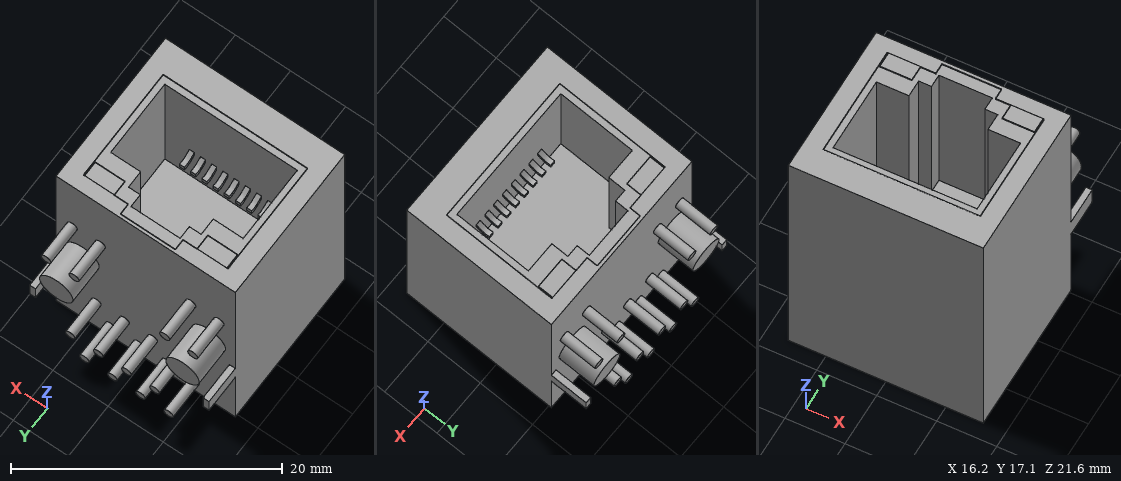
import cadquery as cq

WIDTH = 16.25
DEPTH = 13.82
HEIGHT = 21.6
PIN_LENGTH = 3.32

INSERT_WIDTH = 13.08
INSERT_FRONT = 2.5
INSERT_SHOULDER = 12.57
INSERT_KEY_WIDTH = 4.97
INSERT_BACK = 13.54
INSERT_LIP = 0.55
RIM_STEP = 0.1
INSERT_TOP = HEIGHT - RIM_STEP

CAVITY_WIDTH = INSERT_WIDTH - 2 * INSERT_LIP
CAVITY_FRONT = INSERT_FRONT + INSERT_LIP
CAVITY_SHOULDER = 9.87
CAVITY_STEP_WIDTH = 6.58
CAVITY_STEP_BACK = 11.4
CAVITY_LATCH_WIDTH = 4.45
CAVITY_LATCH_BACK = INSERT_SHOULDER
CAVITY_DEPTH = 12.95
INSERT_BOTTOM = INSERT_TOP - CAVITY_DEPTH - INSERT_LIP

WINDOW_WIDTH = 2.7
WINDOW_DEPTH = 1.35
WINDOW_SIDE_GAP = 0.09

CONTACT_COUNT = 8
CONTACT_PITCH = 1.01
CONTACT_WIDTH = 0.45
CONTACT_THICKNESS = 0.43
CONTACT_REACH = 1.25
CONTACT_KNEE_REACH = 0.55
CONTACT_KNEE_DROP = 0.35
CONTACT_VALLEY_REACH = 0.85
CONTACT_VALLEY_DROP = 0.45
CONTACT_TIP_DROP = 0.39
CONTACT_ROOT_SLOPE = -0.8
CONTACT_TIP_SLOPE = 0.2
CONTACT_ROOT_DEPTH = 8.64
CONTACT_ROOT_Z = HEIGHT - CONTACT_ROOT_DEPTH

SIGNAL_PIN_DIAMETER = 0.86
SIGNAL_PIN_COUNT = 8
SIGNAL_PIN_PITCH = 1.27
SIGNAL_ROW_Z = 1.8
SIGNAL_ROW_SPACING = 2.53
INDICATOR_PIN_DIAMETER = 0.9
INDICATOR_PIN_INNER_X = 4.1
INDICATOR_PIN_SPACING = 2.55
INDICATOR_PIN_Z = 14.75
POST_DIAMETER = 3.02
POST_X = 5.72
POST_Z = 10.7
TAB_WIDTH = 0.55
TAB_HEIGHT = 1.53
TAB_BOTTOM_Z = 6.9


def stepped_prism(steps, front, top, depth):
    """Prism going down from `top`; `steps` lists (width, back edge) from front to back."""
    right_side = []
    y = front
    for width, back in steps:
        right_side += [(width / 2, y), (width / 2, back)]
        y = back
    left_side = [(-x, y) for x, y in reversed(right_side)]
    outline = cq.Workplane("XY").workplane(offset=top).polyline(right_side + left_side).close()
    return outline.extrude(-depth)


def insert_prism(top):
    """Outer shape of the insert, from its bottom up to `top`."""
    steps = [(INSERT_WIDTH, INSERT_SHOULDER), (INSERT_KEY_WIDTH, INSERT_BACK)]
    return stepped_prism(steps, INSERT_FRONT, top, top - INSERT_BOTTOM)


def back_pin(x, z, diameter):
    return cq.Workplane("XZ", origin=(x, DEPTH, z)).circle(diameter / 2).extrude(-PIN_LENGTH)


def signal_pins():
    pins = []
    for i in range(SIGNAL_PIN_COUNT):
        x = (i - (SIGNAL_PIN_COUNT - 1) / 2) * SIGNAL_PIN_PITCH
        z = SIGNAL_ROW_Z + (i % 2) * SIGNAL_ROW_SPACING
        pins.append(back_pin(x, z, SIGNAL_PIN_DIAMETER))
    return pins


def side_fixings(side):
    """Two indicator pins, the locating post and the grounding tab of one side (-1 or +1)."""
    outer_x = INDICATOR_PIN_INNER_X + INDICATOR_PIN_SPACING
    tab = cq.Workplane("XY").box(TAB_WIDTH, PIN_LENGTH, TAB_HEIGHT, centered=(True, False, False))
    return [
        back_pin(side * INDICATOR_PIN_INNER_X, INDICATOR_PIN_Z, INDICATOR_PIN_DIAMETER),
        back_pin(side * outer_x, INDICATOR_PIN_Z, INDICATOR_PIN_DIAMETER),
        back_pin(side * POST_X, POST_Z, POST_DIAMETER),
        tab.translate((side * (WIDTH - TAB_WIDTH) / 2, DEPTH, TAB_BOTTOM_Z)),
    ]


def make_housing():
    block = cq.Workplane("XY").box(WIDTH, DEPTH, HEIGHT, centered=(True, False, False))
    housing = block.cut(insert_prism(HEIGHT))
    for fixing in signal_pins() + side_fixings(-1) + side_fixings(1):
        housing = housing.union(fixing)
    return housing


def indicator_window(side):
    x = side * (INSERT_WIDTH / 2 - WINDOW_SIDE_GAP - WINDOW_WIDTH / 2)
    y = INSERT_SHOULDER - WINDOW_DEPTH / 2
    return (
        cq.Workplane("XY", origin=(x, y, INSERT_TOP))
        .rect(WINDOW_WIDTH, WINDOW_DEPTH)
        .extrude(HEIGHT - INSERT_TOP)
    )


def contact(x):
    """Wire sloping down from the front wall of the cavity, then curving up to a short tip."""
    root = (CAVITY_FRONT, CONTACT_ROOT_Z)
    knee = (CAVITY_FRONT + CONTACT_KNEE_REACH, CONTACT_ROOT_Z - CONTACT_KNEE_DROP)
    valley = (CAVITY_FRONT + CONTACT_VALLEY_REACH, CONTACT_ROOT_Z - CONTACT_VALLEY_DROP)
    tip = (CAVITY_FRONT + CONTACT_REACH, CONTACT_ROOT_Z - CONTACT_TIP_DROP)
    upper_edge = [root, knee, valley, tip]
    lower_edge = [(y, z - CONTACT_THICKNESS) for y, z in reversed(upper_edge)]
    upper_tangents = [(1, CONTACT_ROOT_SLOPE), (1, CONTACT_TIP_SLOPE)]
    lower_tangents = [(-1, -CONTACT_TIP_SLOPE), (-1, -CONTACT_ROOT_SLOPE)]
    return (
        cq.Workplane("YZ", origin=(x - CONTACT_WIDTH / 2, 0, 0))
        .moveTo(*root)
        .spline(upper_edge[1:], tangents=upper_tangents, includeCurrent=True)
        .lineTo(*lower_edge[0])
        .spline(lower_edge[1:], tangents=lower_tangents, includeCurrent=True)
        .close()
        .extrude(CONTACT_WIDTH)
    )


def make_insert():
    cavity_steps = [
        (CAVITY_WIDTH, CAVITY_SHOULDER),
        (CAVITY_STEP_WIDTH, CAVITY_STEP_BACK),
        (CAVITY_LATCH_WIDTH, CAVITY_LATCH_BACK),
    ]
    cavity = stepped_prism(cavity_steps, CAVITY_FRONT, INSERT_TOP, CAVITY_DEPTH)
    insert = insert_prism(INSERT_TOP).cut(cavity)
    for side in (-1, 1):
        insert = insert.union(indicator_window(side))
    for i in range(CONTACT_COUNT):
        insert = insert.union(contact((i - (CONTACT_COUNT - 1) / 2) * CONTACT_PITCH))
    return insert


housing = make_housing()
insert = make_insert()
result = cq.Compound.makeCompound([housing.solids().val(), insert.solids().val()])